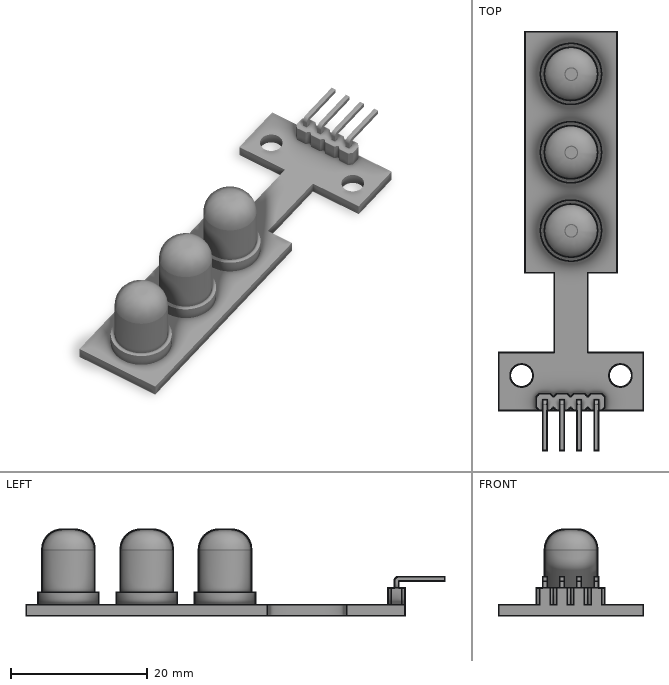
import cadquery as cq

TOTAL_LENGTH = 61.6
TOTAL_HEIGHT = 12.75

PIN_OVERHANG = 5.85
BOARD_THICKNESS = 1.65
BOARD_LENGTH = TOTAL_LENGTH - PIN_OVERHANG
FOOT_WIDTH = 21.3
FOOT_LENGTH = 8.55
NECK_WIDTH = 5.0
HEAD_WIDTH = 13.55
HEAD_LENGTH = 35.5
HEAD_START = BOARD_LENGTH - HEAD_LENGTH

HOLE_DIAMETER = 3.3
HOLE_SPACING = 14.55
HOLE_FROM_FRONT = 5.2

LAMP_COUNT = 3
LAMP_PITCH = 11.5
LAST_LAMP_FROM_END = 6.2
FLANGE_DIAMETER = 9.0
FLANGE_HEIGHT = 1.85
LAMP_DIAMETER = 7.8
LAMP_TIP_DIAMETER = 1.85
LAMP_HEIGHT = TOTAL_HEIGHT - BOARD_THICKNESS
DOME_RADIUS = (LAMP_DIAMETER - LAMP_TIP_DIAMETER) / 2

PIN_COUNT = 4
PIN_PITCH = 2.5
HEADER_OFFSET_X = -0.05
BLOCK_SIZE = PIN_PITCH
BLOCK_HEIGHT = 2.45
BLOCK_CHAMFER = 0.5
PIN_THICKNESS = 0.7
PIN_TOP = 5.8


def centred_bar(width, start, length):
    """Board-thick rectangle centred on X that runs from Y = start."""
    return cq.Workplane("XY").box(
        width, length, BOARD_THICKNESS, centered=(True, False, False)
    ).translate((0, start, 0))


def make_board():
    foot = centred_bar(FOOT_WIDTH, 0, FOOT_LENGTH)
    neck = centred_bar(NECK_WIDTH, FOOT_LENGTH, HEAD_START - FOOT_LENGTH)
    head = centred_bar(HEAD_WIDTH, HEAD_START, HEAD_LENGTH)
    hole_x = HOLE_SPACING / 2
    holes = (
        cq.Workplane("XY")
        .pushPoints([(-hole_x, HOLE_FROM_FRONT), (hole_x, HOLE_FROM_FRONT)])
        .circle(HOLE_DIAMETER / 2)
        .extrude(BOARD_THICKNESS)
    )
    return foot.union(neck).union(head).cut(holes)


def make_lamp(y):
    """Flanged cylinder whose rounded top leaves a small flat tip."""
    base = cq.Workplane("XY", origin=(0, y, BOARD_THICKNESS))
    flange = base.circle(FLANGE_DIAMETER / 2).extrude(FLANGE_HEIGHT)
    body = base.circle(LAMP_DIAMETER / 2).extrude(LAMP_HEIGHT).faces(">Z").edges().fillet(DOME_RADIUS)
    return flange.union(body)


def make_block(x):
    """Plastic header block with its four upright edges chamfered."""
    return (
        cq.Workplane("XY")
        .box(BLOCK_SIZE, BLOCK_SIZE, BLOCK_HEIGHT, centered=(True, False, False))
        .edges("|Z")
        .chamfer(BLOCK_CHAMFER)
        .translate((x, 0, BOARD_THICKNESS))
    )


def make_pin(x):
    """Square pin that rises from its block and bends forward past the foot."""
    back = (BLOCK_SIZE + PIN_THICKNESS) / 2
    front = back - PIN_THICKNESS
    arm_underside = PIN_TOP - PIN_THICKNESS
    return (
        cq.Workplane("YZ", origin=(x, 0, 0))
        .moveTo(back, BOARD_THICKNESS)
        .lineTo(back, arm_underside)
        .radiusArc((front, PIN_TOP), -PIN_THICKNESS)
        .lineTo(-PIN_OVERHANG, PIN_TOP)
        .lineTo(-PIN_OVERHANG, arm_underside)
        .lineTo(front, arm_underside)
        .lineTo(front, BOARD_THICKNESS)
        .close()
        .extrude(PIN_THICKNESS / 2, both=True)
    )


result = make_board()

for lamp in range(LAMP_COUNT):
    result = result.union(make_lamp(BOARD_LENGTH - LAST_LAMP_FROM_END - lamp * LAMP_PITCH))

for pin in range(PIN_COUNT):
    pin_x = HEADER_OFFSET_X + (pin - (PIN_COUNT - 1) / 2) * PIN_PITCH
    result = result.union(make_block(pin_x)).union(make_pin(pin_x))